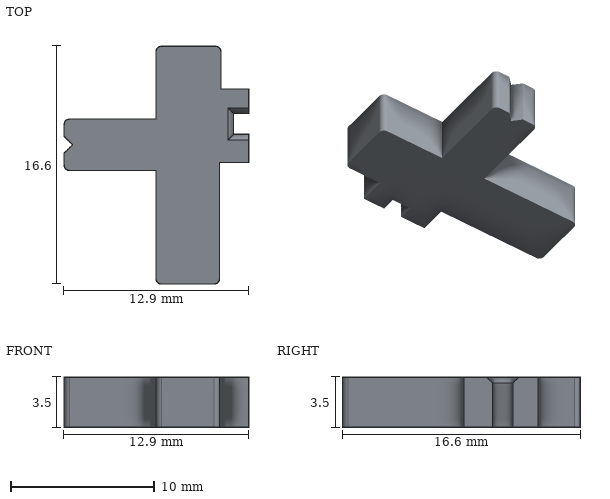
import cadquery as cq

total_width = 12.9
total_length = 16.6
thickness = 3.5
corner_radius = 0.4

stem_left = 6.4
upper_stem_width = 4.55
lower_stem_width = 4.45

arm_bottom = 7.92
arm_width = 3.6
notch_width = 1.16
notch_depth = 0.6

lug_bottom = 8.48
lug_width = 5.15
slot_bottom = 10.45
slot_width = 1.45
slot_depth = 1.06
slot_chamfer = 0.4

arm_center = arm_bottom + arm_width / 2


def block(left, bottom, right, top):
    """Full-thickness rectangular block between two opposite corners."""
    return cq.Workplane("XY").box(right - left, top - bottom, thickness, centered=False).translate(
        (left, bottom, 0)
    )


def make_stem():
    lower = block(stem_left, 0, stem_left + lower_stem_width, lug_bottom)
    lower = lower.edges("|Z and <Y").fillet(corner_radius)
    upper = block(stem_left, lug_bottom, stem_left + upper_stem_width, total_length)
    upper = upper.edges("|Z and >Y").fillet(corner_radius)
    return lower.union(upper)


def make_arm():
    arm = block(0, arm_bottom, stem_left, arm_bottom + arm_width)
    arm = arm.edges("|Z and <X").fillet(corner_radius)
    notch = (
        cq.Workplane("XY")
        .moveTo(0, arm_center - notch_width / 2)
        .lineTo(notch_depth, arm_center)
        .lineTo(0, arm_center + notch_width / 2)
        .close()
        .extrude(thickness)
    )
    return arm.cut(notch)


def make_lug():
    lug = block(stem_left + lower_stem_width, lug_bottom, total_width, lug_bottom + lug_width)
    slot_left = total_width - slot_depth
    slot = block(slot_left, slot_bottom, total_width + slot_depth, slot_bottom + slot_width)
    flare = (
        cq.Workplane("XY", origin=(total_width, slot_bottom + slot_width / 2, thickness))
        .rect(2 * (slot_depth + slot_chamfer), slot_width + 2 * slot_chamfer)
        .workplane(offset=-slot_chamfer)
        .rect(2 * slot_depth, slot_width)
        .loft(ruled=True)
    )
    return lug.cut(slot).cut(flare)


result = make_stem().union(make_arm()).union(make_lug())